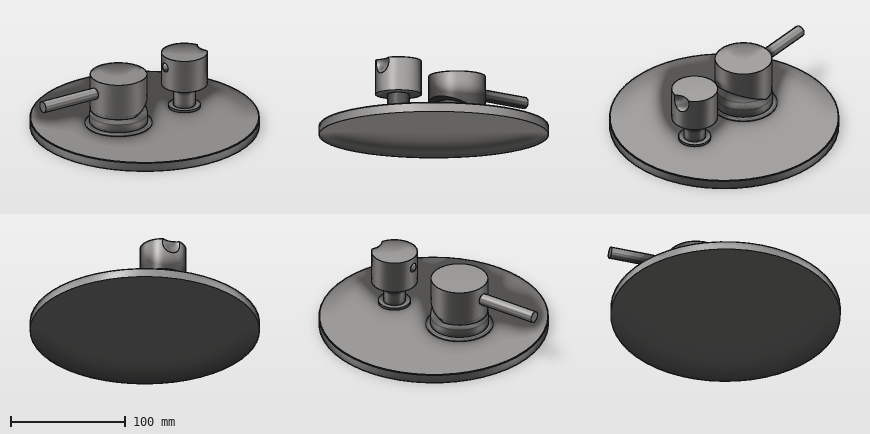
import cadquery as cq
import math

OVERALL_LENGTH = 206.3

PLATE_RADIUS = 100.0
PLATE_THICKNESS = 8.3
PLATE_EDGE_CHAMFER = 0.6

MIXER_Y = -27.2
FLANGE_RADIUS = 29.3
FLANGE_THICKNESS = 2.5
BASE_RADIUS = 25.4
BASE_SHOULDER_Z = 18.2
SHOULDER_ARC_RADIUS = 13.0
CONE_HALF_ANGLE = math.radians(30)
BASE_TOP_Z = 31.4

HANDLE_RADIUS = 24.8
HANDLE_BOTTOM_Z = 22.7
HANDLE_REAR_BOTTOM_Z = 34.2
HANDLE_RIM_Z = 55.5
HANDLE_DOME_RISE = 0.2
LEVER_RADIUS = 5.0
LEVER_Z = 43.0
LEVER_TIP_Y = PLATE_RADIUS - OVERALL_LENGTH

KNOB_Y = 41.5
COLLAR_RADIUS = 14.0
COLLAR_THICKNESS = 2.0
STEM_RADIUS = 9.5
KNOB_RADIUS = 20.0
KNOB_BOTTOM_Z = 30.1
KNOB_RIM_Z = 59.6
KNOB_DOME_RISE = 0.5

BUMP_RADIUS = 4.0
BUMP_HEIGHT = 2.0
BUMP_Z = 50.0

SCOOP_RADIUS = 12.8
SCOOP_OFFSET = 28.3
SCOOP_Z = 56.3


def domed_cylinder(radius, bottom_z, rim_z, dome_rise, center_y):
    """Upright cylinder with a shallow spherical top."""
    sphere_radius = (radius**2 + dome_rise**2) / (2 * dome_rise)
    mid_radius = radius / 2
    mid_z = rim_z + dome_rise - sphere_radius + math.sqrt(sphere_radius**2 - mid_radius**2)
    return (
        cq.Workplane("XZ")
        .moveTo(0, bottom_z)
        .lineTo(radius, bottom_z)
        .lineTo(radius, rim_z)
        .threePointArc((mid_radius, mid_z), (0, rim_z + dome_rise))
        .close()
        .revolve(360, (0, 0, 0), (0, 1, 0))
        .translate((0, center_y, 0))
    )


def make_plate():
    plate = cq.Workplane("XY").circle(PLATE_RADIUS).extrude(PLATE_THICKNESS)
    return plate.faces(">Z").edges().chamfer(PLATE_EDGE_CHAMFER)


def make_mixer_base():
    """Revolved flange with a half-round rim, carrying the shouldered base."""
    bead_radius = FLANGE_THICKNESS / 2
    bead_center_r = FLANGE_RADIUS - bead_radius
    flange_top_z = PLATE_THICKNESS + FLANGE_THICKNESS

    def shoulder_point(angle):
        return (
            BASE_RADIUS - SHOULDER_ARC_RADIUS * (1 - math.cos(angle)),
            BASE_SHOULDER_Z + SHOULDER_ARC_RADIUS * math.sin(angle),
        )

    cone_start_r, cone_start_z = shoulder_point(CONE_HALF_ANGLE)
    base_top_radius = cone_start_r - (BASE_TOP_Z - cone_start_z) * math.tan(CONE_HALF_ANGLE)
    return (
        cq.Workplane("XZ")
        .moveTo(0, PLATE_THICKNESS)
        .lineTo(bead_center_r, PLATE_THICKNESS)
        .threePointArc((FLANGE_RADIUS, PLATE_THICKNESS + bead_radius), (bead_center_r, flange_top_z))
        .lineTo(BASE_RADIUS, flange_top_z)
        .lineTo(BASE_RADIUS, BASE_SHOULDER_Z)
        .threePointArc(shoulder_point(CONE_HALF_ANGLE / 2), (cone_start_r, cone_start_z))
        .lineTo(base_top_radius, BASE_TOP_Z)
        .lineTo(0, BASE_TOP_Z)
        .close()
        .revolve(360, (0, 0, 0), (0, 1, 0))
        .translate((0, MIXER_Y, 0))
    )


def make_knob():
    collar = (
        cq.Workplane("XY", origin=(0, KNOB_Y, PLATE_THICKNESS))
        .circle(COLLAR_RADIUS)
        .extrude(COLLAR_THICKNESS)
    )
    stem = (
        cq.Workplane("XY", origin=(0, KNOB_Y, PLATE_THICKNESS))
        .circle(STEM_RADIUS)
        .extrude(KNOB_BOTTOM_Z - PLATE_THICKNESS)
    )
    head = domed_cylinder(KNOB_RADIUS, KNOB_BOTTOM_Z, KNOB_RIM_Z, KNOB_DOME_RISE, KNOB_Y)
    scoop = cq.Workplane("XY").sphere(SCOOP_RADIUS).translate((0, KNOB_Y + SCOOP_OFFSET, SCOOP_Z))
    bump_sphere_radius = (BUMP_RADIUS**2 + BUMP_HEIGHT**2) / (2 * BUMP_HEIGHT)
    bump_center_y = KNOB_Y - KNOB_RADIUS - BUMP_HEIGHT + bump_sphere_radius
    bump = cq.Workplane("XY").sphere(bump_sphere_radius).translate((0, bump_center_y, BUMP_Z))
    return head.cut(scoop).union(bump).union(stem).union(collar)


def make_housing(mixer_base):
    """Plate, mixer base and diverter knob as one body."""
    return make_plate().union(mixer_base).union(make_knob())


def make_handle(mixer_base):
    """Cap and lever, with a recess that fits over the top of the mixer base."""
    cap = domed_cylinder(HANDLE_RADIUS, HANDLE_BOTTOM_Z, HANDLE_RIM_Z, HANDLE_DOME_RISE, MIXER_Y)
    rear_y = MIXER_Y + HANDLE_RADIUS
    rear_wedge = (
        cq.Workplane("YZ")
        .moveTo(MIXER_Y, HANDLE_BOTTOM_Z)
        .lineTo(rear_y, HANDLE_BOTTOM_Z)
        .lineTo(rear_y, HANDLE_REAR_BOTTOM_Z)
        .close()
        .extrude(HANDLE_RADIUS, both=True)
    )
    lever = (
        cq.Workplane("XZ", origin=(0, MIXER_Y, LEVER_Z))
        .circle(LEVER_RADIUS)
        .extrude(MIXER_Y - LEVER_TIP_Y)
    )
    return cap.cut(rear_wedge).union(lever).cut(mixer_base)


base = make_mixer_base()
housing = make_housing(base)
handle = make_handle(base)

result = cq.Compound.makeCompound([housing.solids().val(), handle.solids().val()])